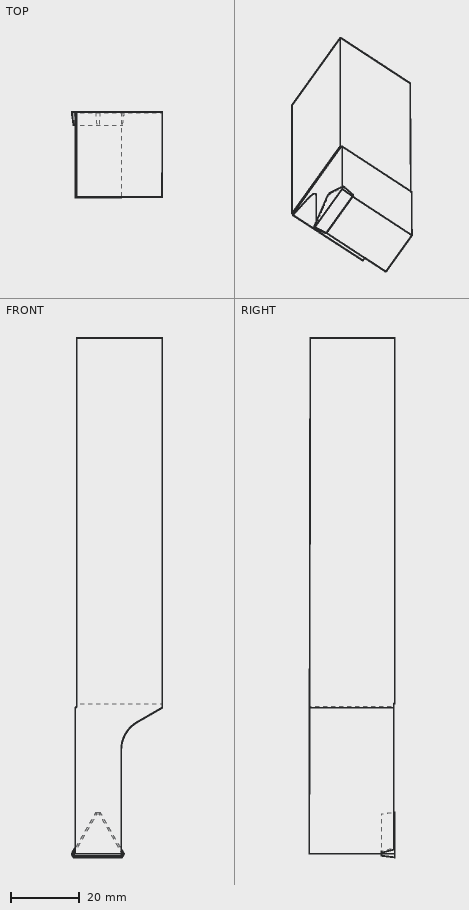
import cadquery as cq
import math

TOTAL_LENGTH = 151.4
SHANK_SIZE = 25.0
SHANK_BOTTOM = 43.6
SIDE_LEAN = 0.09
FRONT_LEAN = 0.3
NECK_BOTTOM = 1.0
NECK_OFFSET = 0.5
NECK_RIGHT = 13.0
NECK_REAR_STEP = 0.3
NECK_REAR_TOP = 44.8
SHOULDER_ANGLE = 30.0
SHOULDER_RADIUS = 9.1

INSERT_OVERHANG = 1.5
INSERT_WIDTH = 15.3
INSERT_TIP = 1.2
INSERT_THICKNESS = 4.0
INSERT_RELIEF = 7.0

INSERT_CENTER = INSERT_WIDTH / 2 - INSERT_OVERHANG


def make_insert():
    """Truncated triangle, largest at its rear cutting face."""
    side = INSERT_WIDTH + INSERT_TIP
    inradius = side / (2 * math.sqrt(3))
    edge_half = side / 2 - INSERT_TIP
    outline = []
    for angle in (0, 120, 240):
        turn = math.radians(angle)
        for along in (-edge_half, edge_half):
            outline.append((
                INSERT_CENTER + along * math.cos(turn) + inradius * math.sin(turn),
                inradius + along * math.sin(turn) - inradius * math.cos(turn),
            ))
    return cq.Workplane("XZ").polyline(outline).close().extrude(INSERT_THICKNESS, taper=INSERT_RELIEF)


def make_shank():
    """Square bar whose right side leans in slightly toward the front."""
    outline = [
        (0, 0),
        (SHANK_SIZE, 0),
        (SHANK_SIZE - SIDE_LEAN, -SHANK_SIZE),
        (0, -SHANK_SIZE),
    ]
    return (
        cq.Workplane("XY", origin=(0, 0, SHANK_BOTTOM))
        .polyline(outline)
        .close()
        .extrude(TOTAL_LENGTH - SHANK_BOTTOM)
    )


def make_rear_step():
    """Shallow slab removed from the shank's rear just above the neck."""
    return cq.Workplane("XY", origin=(0, 0, SHANK_BOTTOM)).box(
        SHANK_SIZE, NECK_REAR_STEP, NECK_REAR_TOP - SHANK_BOTTOM, centered=False
    ).translate((0, -NECK_REAR_STEP, 0))


def make_front_lean():
    """Thin wedge removed from the front so that it leans back toward the top."""
    return (
        cq.Workplane("YZ", origin=(-NECK_OFFSET, 0, 0))
        .moveTo(-SHANK_SIZE, 0)
        .lineTo(-SHANK_SIZE + FRONT_LEAN, TOTAL_LENGTH)
        .lineTo(-SHANK_SIZE, TOTAL_LENGTH)
        .close()
        .extrude(SHANK_SIZE + NECK_OFFSET)
    )


def make_neck():
    """Neck and sloping shoulder, joined by a tangent arc; a 45 degree ledge tops the left side."""
    slope = math.radians(SHOULDER_ANGLE)
    shoulder_end_x = SHANK_SIZE - SIDE_LEAN
    corner_z = SHANK_BOTTOM - (shoulder_end_x - NECK_RIGHT) * math.tan(slope)
    arc_turn = math.pi / 2 - slope
    arc_start_z = corner_z - SHOULDER_RADIUS * math.tan(arc_turn / 2)
    arc_center_x = NECK_RIGHT + SHOULDER_RADIUS

    def arc_point(turn):
        return (
            arc_center_x - SHOULDER_RADIUS * math.cos(turn),
            arc_start_z + SHOULDER_RADIUS * math.sin(turn),
        )

    return (
        cq.Workplane("XZ", origin=(0, -NECK_REAR_STEP, 0))
        .moveTo(-NECK_OFFSET, NECK_BOTTOM)
        .lineTo(NECK_RIGHT, NECK_BOTTOM)
        .lineTo(NECK_RIGHT, arc_start_z)
        .threePointArc(arc_point(arc_turn / 2), arc_point(arc_turn))
        .lineTo(shoulder_end_x, SHANK_BOTTOM)
        .lineTo(0, SHANK_BOTTOM)
        .lineTo(0, SHANK_BOTTOM + NECK_OFFSET)
        .lineTo(-NECK_OFFSET, SHANK_BOTTOM)
        .close()
        .extrude(SHANK_SIZE - NECK_REAR_STEP)
    )


insert = make_insert()

holder = make_shank().union(make_neck())
holder = holder.cut(make_rear_step()).cut(make_front_lean()).cut(insert)

result = cq.Compound.makeCompound([holder.val(), insert.val()])